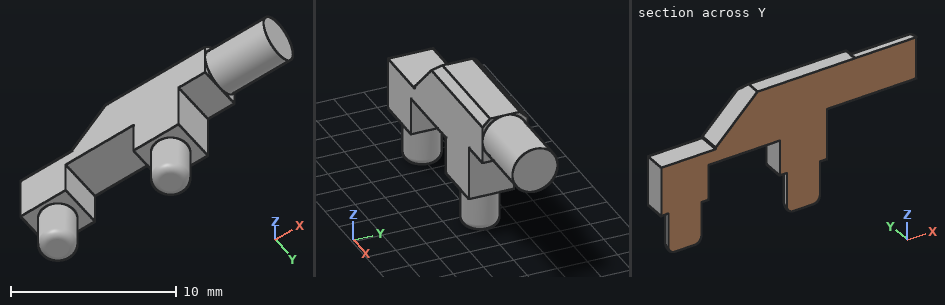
import cadquery as cq

width = 3.0
body_height = 6.6
body_length = 13.9

foot_length = 3.4
foot_pitch = 8.5
arch_height = 2.5

shelf_height = 3.5
shelf_length = 3.9
ramp_rise = 3.0
arm_depth = 3.0
top_chamfer = 0.5

pin_diameter = 2.4
pin_length = 2.9
pin_tip_radius = 0.5

spigot_diameter = 3.0
spigot_length = 4.4

ramp_foot_z = body_height - ramp_rise
ramp_top_x = shelf_length + ramp_rise
arm_underside_z = body_height - arm_depth
rear_foot_end_x = foot_pitch + foot_length
spigot_axis_z = body_height - spigot_diameter / 2


def make_body():
    """Side profile with two feet and a ramp, extruded across the width."""
    profile = [
        (0, 0),
        (foot_length, 0),
        (foot_length, arch_height),
        (foot_pitch, arch_height),
        (foot_pitch, 0),
        (rear_foot_end_x, 0),
        (rear_foot_end_x, arm_underside_z),
        (body_length, arm_underside_z),
        (body_length, body_height),
        (ramp_top_x, body_height),
        (shelf_length, ramp_foot_z),
        (shelf_length, shelf_height),
        (0, shelf_height),
    ]
    return cq.Workplane("XZ").polyline(profile).close().extrude(width / 2, both=True)


def make_top_edge_cutter(side):
    """Triangular prism removing one long top edge; side is +1 or -1 along Y."""
    outer_y = side * width / 2
    return (
        cq.Workplane("YZ")
        .moveTo(outer_y, body_height - top_chamfer)
        .lineTo(outer_y, body_height)
        .lineTo(outer_y - side * top_chamfer, body_height)
        .close()
        .extrude(body_length)
    )


def make_pin(center_x):
    """Locating pin under a foot, with a rounded tip."""
    return (
        cq.Workplane("XY")
        .center(center_x, 0)
        .circle(pin_diameter / 2)
        .extrude(-pin_length)
        .faces("<Z")
        .edges()
        .fillet(pin_tip_radius)
    )


def make_spigot():
    """Round spigot continuing the arm along +X."""
    return (
        cq.Workplane("YZ", origin=(body_length, 0, spigot_axis_z))
        .circle(spigot_diameter / 2)
        .extrude(spigot_length)
    )


result = make_body()
for edge_side in (1, -1):
    result = result.cut(make_top_edge_cutter(edge_side))
for foot_start_x in (0, foot_pitch):
    result = result.union(make_pin(foot_start_x + foot_length / 2))
result = result.union(make_spigot())